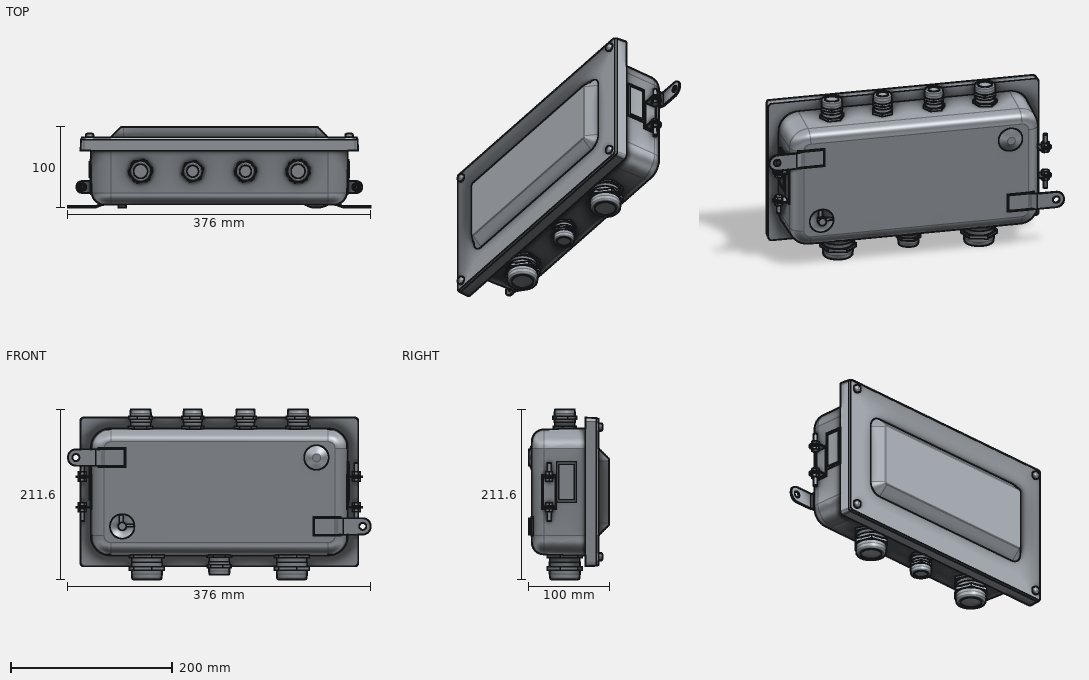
import cadquery as cq
import math


overlap = 1.0
round_end_gap = 0.05

body_length = 319.4
body_height = 158.0
body_depth = 66.5
body_draft = 1.5
body_corner_radius = 25.0
back_edge_radius = 15.0

cover_length = 345.0
cover_height = 185.0
cover_thickness = 16.5
cover_draft = 3.0
cover_corner_radius = 4.5
cover_edge = 3.0
cover_edge_inset = 1.0
cover_front_y = body_depth + cover_thickness
raised_length = 270.0
raised_height = 108.0
raised_rise = 13.0
raised_slope = 45.0
raised_corner_radius = 15.5
raised_edge_radius = 2.0

screw_spacing_x = 322.0
screw_spacing_z = 161.0
screw_head_diameter = 10.0
screw_head_height = 5.0
screw_head_rounding = 3.0

gland_y = 41.0
gland_recess_depth = 1.0
gland_embed = 8.0
wall_z = body_height / 2 - (body_depth - gland_y) * math.tan(math.radians(body_draft))

foot_z = 42.7
foot_width = 20.5
foot_thickness = 2.0
foot_back_y = -4.0
foot_hole_x = 178.0
foot_end_x = 188.0
foot_hole_diameter = 8.5
foot_bend_outer_x = 153.5
foot_bend_inner_x = 146.0
foot_seat_x = 143.4
foot_inner_x = 118.0
foot_crank = 2.8
foot_seat = 3.2
weld_width = 1.6
weld_outer_x = 150.5
weld_back_y = -0.4
weld_front_y = 2.5

plug_x = 120.5
plug_z = foot_z
plug_diameter = 30.5
plug_flat_diameter = 10.0
plug_height = 4.0
plug_flank_fullness = 0.62
plug_upright_x = -1.1
plug_upright_width = 4.7
plug_level_z = 1.0
plug_level_width = 3.6
plug_rib_inset = 0.6

plate_embed = 4.0
nameplate_y = 43.2
nameplate_z = 12.3
nameplate_width = 19.0
nameplate_length = 44.3
nameplate_frame = 2.8
nameplate_face_x = 161.2
frame_face_x = 160.4
bracket_y = 21.5
bracket_width = 15.0
bracket_height = 40.0
bracket_face_x = 159.9
bracket_weld_width = 1.6
bracket_weld_face_x = 159.3
lug_hole_x = 170.0
lug_thickness = 1.5
lug_z = 19.0
stud_diameter = 5.0
stud_end_z = 36.5
stud_chamfer = 0.8
nut_flats = 8.5
nut_height = 4.0
washer_diameter = 10.0
washer_thickness = 1.0


def facing_y(y):
    """Workplane at height y with +Y as its normal; its second axis is -Z."""
    return cq.Workplane(cq.Plane(origin=(0, y, 0), xDir=(1, 0, 0), normal=(0, 1, 0)))


def block(x_range, y_range, z_range):
    """Box between two limits on each axis."""
    limits = (x_range, y_range, z_range)
    sizes = [max(pair) - min(pair) for pair in limits]
    corner = tuple(min(pair) for pair in limits)
    return cq.Workplane("XY").box(*sizes, centered=False).translate(corner)


def centred(middle, size):
    return (middle - size / 2, middle + size / 2)


def rounded_prism(plane, length, height, corner_radius, depth, taper):
    outline = cq.Sketch().rect(length, height).vertices().fillet(corner_radius)
    return plane.placeSketch(outline).extrude(depth, taper=taper)


def hexagon(across_flats, height, turn):
    corner_diameter = across_flats / math.cos(math.pi / 6)
    prism = cq.Workplane("XY").polygon(6, corner_diameter).extrude(height)
    return prism.rotate((0, 0, 0), (0, 0, 1), turn)


def make_body():
    opening = cq.Workplane("XZ", origin=(0, body_depth, 0))
    body = rounded_prism(opening, body_length, body_height, body_corner_radius, body_depth, body_draft)
    return body.faces("<Y").edges().fillet(back_edge_radius)


def make_cover():
    plate = rounded_prism(
        facing_y(body_depth), cover_length, cover_height, cover_corner_radius, cover_thickness, cover_draft
    )
    plate = plate.faces(">Y").edges().chamfer(cover_edge, cover_edge_inset)
    raised = rounded_prism(
        facing_y(cover_front_y), raised_length, raised_height, raised_corner_radius, raised_rise, raised_slope
    )
    raised = raised.faces(">Y").edges().fillet(raised_edge_radius)
    return plate.union(raised)


def make_cover_screws():
    head = facing_y(cover_front_y - overlap).rarray(screw_spacing_x, screw_spacing_z, 2, 2)
    head = head.circle(screw_head_diameter / 2).extrude(screw_head_height + overlap)
    return head.faces(">Y").edges().fillet(screw_head_rounding)


def make_gland(size, base_turn, cap_turn):
    """Cable gland standing on the XY plane, pointing to +Z."""
    barrel_radius = size["barrel"] / 2
    neck_radius = size["neck"] / 2
    tip_radius = size["tip"] / 2
    profile = (
        cq.Workplane("XZ")
        .moveTo(0, -gland_embed)
        .lineTo(neck_radius, -gland_embed)
        .lineTo(neck_radius, size["neck_top"])
        .lineTo(barrel_radius, size["neck_top"])
        .lineTo(barrel_radius, size["shoulder"])
        .lineTo(tip_radius + size["tip_round"], size["length"] - size["tip_round"])
        .radiusArc((tip_radius, size["length"]), -size["tip_round"])
        .lineTo(size["bore"] / 2, size["length"])
        .lineTo(size["bore"] / 2, size["length"] - gland_recess_depth)
        .lineTo(0, size["length"] - gland_recess_depth)
        .close()
    )
    gland = profile.revolve(360, (0, 0, 0), (0, 1, 0))
    base_nut = hexagon(size["flats"], size["base_nut"] + gland_embed, base_turn)
    base_nut = base_nut.translate((0, 0, -gland_embed))
    cap_nut = hexagon(size["flats"], size["cap_nut"], cap_turn).translate((0, 0, size["cap_nut_start"]))
    return gland.union(base_nut).union(cap_nut)


medium_gland = dict(
    barrel=25.9, neck=25.0, tip=22.0, tip_round=1.5, bore=17.5, flats=26.5,
    base_nut=3.0, neck_top=8.0, cap_nut_start=12.0, cap_nut=3.5, shoulder=19.5, length=24.6,
)
small_gland = dict(medium_gland, barrel=23.5, neck=22.0, tip=19.5, bore=14.5, flats=24.0)
large_gland = dict(
    barrel=38.0, neck=37.4, tip=32.0, tip_round=2.5, bore=26.5, flats=39.3,
    base_nut=3.5, neck_top=9.0, cap_nut_start=14.5, cap_nut=4.5, shoulder=23.5, length=30.36,
)

upper_glands = [
    (medium_gland, -97.7, 0, 15),
    (small_gland, -33.0, 15, 15),
    (small_gland, 32.5, 0, 15),
    (medium_gland, 97.7, -9, 15),
]
lower_glands = [
    (large_gland, -90.0, 15, 15),
    (medium_gland, 0.0, 0, 15),
    (large_gland, 90.0, 15, 15),
]


def make_glands():
    glands = cq.Workplane("XY")
    for size, x, base_turn, cap_turn in upper_glands:
        glands = glands.union(make_gland(size, base_turn, cap_turn).translate((x, gland_y, wall_z)))
    for size, x, base_turn, cap_turn in lower_glands:
        gland = make_gland(size, base_turn, cap_turn).rotate((0, 0, 0), (1, 0, 0), 180)
        glands = glands.union(gland.translate((x, gland_y, -wall_z)))
    return glands


def make_foot():
    """Cranked strap at the -X, +Z corner, with its weld bead."""
    bends = [
        (-foot_bend_outer_x, foot_back_y),
        (-foot_bend_inner_x, foot_back_y + foot_crank),
        (-foot_seat_x, foot_back_y + foot_seat),
        (-foot_inner_x, foot_back_y + foot_seat),
    ]
    front_bends = [(x, y + foot_thickness) for x, y in reversed(bends)]
    tip_back = (-foot_end_x, foot_back_y)
    tip_front = (-foot_end_x, foot_back_y + foot_thickness)
    outline = [tip_back] + bends + front_bends + [tip_front]
    strap = cq.Workplane("XY", origin=(0, 0, foot_z - foot_width / 2)).polyline(outline).close()
    strap = strap.extrude(foot_width)
    strap = strap.edges("|Y and <X").fillet(foot_width / 2 - round_end_gap)
    hole = facing_y(foot_back_y - overlap).center(-foot_hole_x, -foot_z).circle(foot_hole_diameter / 2)
    strap = strap.cut(hole.extrude(foot_thickness + 2 * overlap))
    weld = block(
        (-weld_outer_x, -foot_inner_x + weld_width),
        (weld_back_y, weld_front_y),
        centred(foot_z, foot_width + 2 * weld_width),
    )
    return strap.union(weld)


def plug_profile(height):
    """Body of revolution about Y at the origin, with a domed flank and a small flat at Y = height."""
    outer_radius = plug_diameter / 2
    flat_radius = plug_flat_diameter / 2
    flank_middle = ((outer_radius + flat_radius) / 2, height * plug_flank_fullness)
    profile = (
        cq.Workplane("XY")
        .lineTo(outer_radius, 0)
        .threePointArc(flank_middle, (flat_radius, height))
        .lineTo(0, height)
        .close()
    )
    return profile.revolve(360, (0, 0, 0), (0, 1, 0))


def add_closed_plug(box):
    return box.union(plug_profile(-plug_height).translate((plug_x, 0, plug_z)))


def add_open_plug(box):
    """Dished recess with a centre pin and two ribs, at the -X, -Z corner."""
    recess = plug_profile(plug_height)
    pin = facing_y(-plug_height).circle(plug_flat_diameter / 2).extrude(2 * plug_height)
    upright_rib = block(centred(plug_upright_x, plug_upright_width), (0, plug_height), (0, plug_diameter / 2))
    level_rib = block((0, plug_diameter / 2), (0, plug_height), centred(plug_level_z, plug_level_width))
    ribs = upright_rib.union(level_rib).translate((0, plug_rib_inset, 0)).intersect(recess)
    place = (-plug_x, 0, -plug_z)
    return box.cut(recess.translate(place)).union(pin.union(ribs).translate(place))


def make_nameplate():
    """Plate on the -X wall inside a slightly lower frame."""
    inner_x = -body_length / 2 + plate_embed
    plate = block(
        (-nameplate_face_x, inner_x),
        centred(nameplate_y, nameplate_width),
        centred(nameplate_z, nameplate_length),
    )
    frame = block(
        (-frame_face_x, inner_x),
        centred(nameplate_y, nameplate_width + 2 * nameplate_frame),
        centred(nameplate_z, nameplate_length + 2 * nameplate_frame),
    )
    return frame.union(plate)


def make_stud():
    """Earthing stud along Z through the upper lug, with a nut and washer on each side."""
    nut_offset = lug_thickness / 2 + washer_thickness
    stud_start_z = lug_z - nut_offset - nut_height
    stud = cq.Workplane("XY").circle(stud_diameter / 2).extrude(stud_end_z - stud_start_z)
    stud = stud.faces(">Z").edges().chamfer(stud_chamfer).translate((0, 0, stud_start_z))
    washers = cq.Workplane("XY").circle(washer_diameter / 2).extrude(2 * nut_offset)
    washers = washers.translate((0, 0, lug_z - nut_offset))
    nut = hexagon(nut_flats, nut_height, 0)
    inner_nut = nut.translate((0, 0, stud_start_z))
    outer_nut = nut.translate((0, 0, lug_z + nut_offset))
    return stud.union(washers).union(outer_nut).union(inner_nut)


def make_earthing_bracket():
    """Welded plate on the -X wall with two round-ended lugs, each carrying a stud."""
    inner_x = -body_length / 2 + plate_embed
    base = block(
        (-bracket_face_x, inner_x), centred(bracket_y, bracket_width), centred(0, bracket_height)
    )
    weld = block(
        (-bracket_weld_face_x, inner_x),
        centred(bracket_y, bracket_width + 2 * bracket_weld_width),
        centred(0, bracket_height + 2 * bracket_weld_width),
    )
    lug = block(
        (-lug_hole_x - bracket_width / 2, inner_x),
        centred(bracket_y, bracket_width),
        centred(lug_z, lug_thickness),
    )
    lug = lug.edges("|Z and <X").fillet(bracket_width / 2 - round_end_gap)
    upper = lug.union(make_stud().translate((-lug_hole_x, bracket_y, 0)))
    return base.union(weld).union(upper).union(upper.mirror("XY"))


def make_end_fittings():
    fittings = make_nameplate().union(make_earthing_bracket())
    return fittings.union(fittings.mirror("YZ"))


result = make_body().union(make_cover()).union(make_cover_screws()).union(make_glands())
result = add_open_plug(add_closed_plug(result))
foot = make_foot()
result = result.union(foot).union(foot.rotate((0, 0, 0), (0, 1, 0), 180))
result = result.union(make_end_fittings())